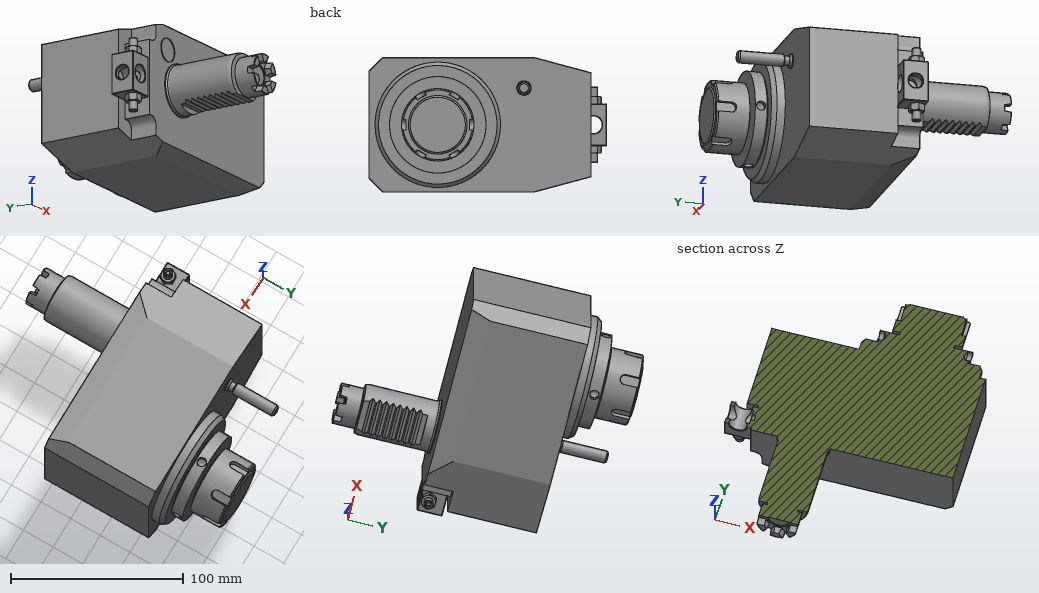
import math

import cadquery as cq


BODY_LEFT = -39.0
BODY_RIGHT = 90.0
BODY_HALF_HEIGHT = 39.0
BODY_DEPTH = 70.2
TAPER_START_X = -6.0
TAPER_ANGLE = 15.0
CORNER_CHAMFER = 8.0
FRONT_BEVEL_DEPTH = 12.0
FRONT_BEVEL_ANGLE = 15.0
BEVEL_CLEARANCE = 10.0

NOTCH_DEPTH = 17.0
NOTCH_FACE_X = -32.0
NOTCH_WALL_X = -25.3
NOTCH_FACE_HALF_HEIGHT = 22.9
NOTCH_FILLET = 4.6

RECESS_X = -12.3
RECESS_Z = 21.7
RECESS_RADIUS = 7.1
RECESS_DEPTH = 0.5

SHANK_RADIUS = 15.0
SHANK_END = -45.2
SHANK_CHAMFER_LENGTH = 2.0
SHANK_CHAMFER_RISE = 0.5
COLLAR_RADIUS = 16.0
COLLAR_LIP = 0.6
COLLAR_WIDTH = 1.6
COLLAR_RUNOUT = 2.7
COLLAR_RUNOUT_RADIUS = 15.3

RACK_FLAT_Z = -11.8
RACK_FLAT_START = -7.1
RACK_FIRST_GROOVE = -11.7
RACK_PITCH = 4.05
RACK_GROOVES = 8
RACK_GROOVE_DEPTH = 1.65
RACK_GROOVE_WIDTH = 3.3

COUPLING_NECK_RADIUS = 9.3
COUPLING_RADIUS = 12.0
COUPLING_START = -46.0
COUPLING_END = -59.1
COUPLING_CHAMFER = 0.3
TOOTH_COUNT = 6
TOOTH_HEIGHT = 4.3
TOOTH_INNER_RADIUS = 7.6
TOOTH_SLOT_MOUTH = 5.0
TOOTH_SLOT_FLOOR = 3.8
COUPLING_RECESS_RADIUS = 6.5
COUPLING_RECESS_FLOOR_RADIUS = 5.9
COUPLING_RECESS_DEPTH = 0.4

SPINDLE_X = 50.0
FLANGE_RADIUS = 36.4
FLANGE_END = 78.0
FLANGE_CHAMFER_LENGTH = 2.8
FLANGE_CHAMFER_RISE = 2.0
RING_RADIUS = 28.0
RING_GAP_RADIUS = 27.0
RING_START = 78.6
RING_END = 85.9
RING_HOLE_Y = 82.4
RING_HOLE_RADIUS = 2.7
RING_HOLE_DEPTH = 3.0
RING_HOLE_TIP_LENGTH = 1.6
RING_HOLE_COUNT = 4
SPINDLE_NECK_RADIUS = 16.6

NUT_RADIUS = 21.0
NUT_START = 87.3
NUT_SHOULDER = 106.7
NUT_CHAMFER = 0.8
NUT_LIP_RADIUS = 17.0
NUT_END_RADIUS = 16.0
NUT_END = 107.5
NUT_SLOT_COUNT = 6
NUT_SLOT_WIDTH = 6.0
NUT_SLOT_BOTTOM = 95.3
NUT_SLOT_FLOOR_RADIUS = 18.5

PIN_Z = 21.3
PIN_RADIUS = 3.6
PIN_END = 102.8
PIN_CHAMFER = 1.0
PIN_GROOVE_RADIUS = 2.7
PIN_GROOVE_START = 72.0
PIN_GROOVE_END = 74.8
PIN_GROOVE_CHAMFER = 0.7
PIN_BASE_RADIUS = 4.2
PIN_BASE_RIM = 0.6
PIN_BASE_TOP_RADIUS = 3.5

BLOCK_LEFT = -48.0
BLOCK_FRONT = 1.0
BLOCK_DEPTH = 15.0
BLOCK_HEIGHT = 24.4
BLOCK_CHAMFER = 0.4
BLOCK_BORE_X = -40.2
BLOCK_BORE_RADIUS = 5.2
BORE_CHAMFER = 0.4
SIDE_BORE_Y = 8.6
SIDE_BORE_RADIUS = 4.3
SIDE_BORE_END = -34.0
FEED_HOLE_RADIUS = 1.6

SCREW_X = -40.2
SCREW_Y = 6.0
SCREW_RADIUS = 2.6
SCREW_TOP = 22.0
SCREW_CHAMFER = 0.4
HEX_NUT_FLATS = 8.2
HEX_NUT_TOP = 16.5
HEX_NUT_CHAMFER = 0.6
SOCKET_FLATS = 2.5
SOCKET_DEPTH = 2.0


def hex_diameter(across_flats):
    """Corner-to-corner diameter of a hexagon."""
    return across_flats / math.cos(math.radians(30))


def turned(points, x=0.0, z=0.0):
    """Solid of revolution about a line along Y from (radius, y) points."""
    profile = cq.Workplane("XY").polyline(points).close()
    return profile.revolve(360, (0, 0, 0), (0, 1, 0)).translate((x, 0, z))


def y_cylinder(x, z, radius, y_start, y_end):
    """Cylinder along Y between two Y positions."""
    plane = cq.Workplane("XZ", origin=(x, y_start, z))
    return plane.circle(radius).extrude(y_start - y_end)


def mirrored_in_z(shape):
    """The shape together with its mirror image below the XY plane."""
    return shape.union(shape.mirror("XY"))


def cut_around_y(shape, tool, count):
    """Cut evenly spaced copies of a tool around the Y axis."""
    for index in range(count):
        shape = shape.cut(tool.rotate((0, 0, 0), (0, 1, 0), index * 360 / count))
    return shape


def make_housing():
    taper_drop = (TAPER_START_X - BODY_LEFT) * math.tan(math.radians(TAPER_ANGLE))
    left_half_height = BODY_HALF_HEIGHT - taper_drop
    right_half_height = BODY_HALF_HEIGHT - CORNER_CHAMFER
    upper = [
        (BODY_LEFT, left_half_height),
        (TAPER_START_X, BODY_HALF_HEIGHT),
        (BODY_RIGHT - CORNER_CHAMFER, BODY_HALF_HEIGHT),
        (BODY_RIGHT, right_half_height),
    ]
    lower = [(x, -z) for x, z in reversed(upper)]
    housing = cq.Workplane("XZ").polyline(upper + lower).close().extrude(-BODY_DEPTH)

    slope = math.tan(math.radians(FRONT_BEVEL_ANGLE))
    edge_height = BODY_HALF_HEIGHT - FRONT_BEVEL_DEPTH * slope
    bevel = (
        cq.Workplane("YZ", origin=(BODY_LEFT, 0, 0))
        .moveTo(0, edge_height)
        .lineTo(FRONT_BEVEL_DEPTH, BODY_HALF_HEIGHT)
        .lineTo(FRONT_BEVEL_DEPTH, BODY_HALF_HEIGHT + BEVEL_CLEARANCE)
        .lineTo(0, BODY_HALF_HEIGHT + BEVEL_CLEARANCE)
        .close()
        .extrude(BODY_RIGHT - BODY_LEFT)
    )
    housing = housing.cut(mirrored_in_z(bevel)).cut(make_notch())
    return housing.cut(y_cylinder(RECESS_X, RECESS_Z, RECESS_RADIUS, 0, RECESS_DEPTH))


def make_notch():
    arc_x = NOTCH_WALL_X - NOTCH_FILLET
    arc_z = NOTCH_FACE_HALF_HEIGHT + NOTCH_FILLET
    diagonal = NOTCH_FILLET * math.sqrt(0.5)
    upper = (
        cq.Workplane("XZ")
        .moveTo(BODY_LEFT, 0)
        .lineTo(NOTCH_FACE_X, 0)
        .lineTo(NOTCH_FACE_X, NOTCH_FACE_HALF_HEIGHT)
        .lineTo(arc_x, NOTCH_FACE_HALF_HEIGHT)
        .threePointArc((arc_x + diagonal, arc_z - diagonal), (NOTCH_WALL_X, arc_z))
        .lineTo(NOTCH_WALL_X, BODY_HALF_HEIGHT)
        .lineTo(BODY_LEFT, BODY_HALF_HEIGHT)
        .close()
        .extrude(-NOTCH_DEPTH)
    )
    return mirrored_in_z(upper)


def make_shank():
    shank = turned([
        (0, 0),
        (COLLAR_RADIUS, 0),
        (COLLAR_RADIUS, -COLLAR_LIP),
        (COLLAR_RUNOUT_RADIUS, -COLLAR_WIDTH),
        (SHANK_RADIUS, -COLLAR_RUNOUT),
        (SHANK_RADIUS, SHANK_END + SHANK_CHAMFER_LENGTH),
        (SHANK_RADIUS - SHANK_CHAMFER_RISE, SHANK_END),
        (0, SHANK_END),
    ])
    flat = cq.Workplane("XY").box(
        2 * SHANK_RADIUS,
        RACK_FLAT_START - SHANK_END,
        SHANK_RADIUS + RACK_FLAT_Z,
        centered=(True, False, False),
    )
    shank = shank.cut(flat.translate((0, SHANK_END, -SHANK_RADIUS)))
    for index in range(RACK_GROOVES):
        groove_y = RACK_FIRST_GROOVE - index * RACK_PITCH
        groove = (
            cq.Workplane("YZ")
            .moveTo(groove_y - RACK_GROOVE_WIDTH / 2, RACK_FLAT_Z)
            .lineTo(groove_y, RACK_FLAT_Z + RACK_GROOVE_DEPTH)
            .lineTo(groove_y + RACK_GROOVE_WIDTH / 2, RACK_FLAT_Z)
            .close()
            .extrude(SHANK_RADIUS, both=True)
        )
        shank = shank.cut(groove)
    return shank


def make_coupling():
    tooth_root = COUPLING_END + TOOTH_HEIGHT
    coupling = turned([
        (0, SHANK_END),
        (COUPLING_NECK_RADIUS, SHANK_END),
        (COUPLING_NECK_RADIUS, COUPLING_START),
        (COUPLING_RADIUS, COUPLING_START),
        (COUPLING_RADIUS, COUPLING_END + COUPLING_CHAMFER),
        (COUPLING_RADIUS - COUPLING_CHAMFER, COUPLING_END),
        (TOOTH_INNER_RADIUS, COUPLING_END),
        (TOOTH_INNER_RADIUS, tooth_root),
        (COUPLING_RECESS_RADIUS, tooth_root),
        (COUPLING_RECESS_FLOOR_RADIUS, tooth_root + COUPLING_RECESS_DEPTH),
        (0, tooth_root + COUPLING_RECESS_DEPTH),
    ])
    slot = (
        cq.Workplane("YZ", origin=(COUPLING_RECESS_RADIUS, 0, 0))
        .moveTo(COUPLING_END, TOOTH_SLOT_MOUTH / 2)
        .lineTo(tooth_root, TOOTH_SLOT_FLOOR / 2)
        .lineTo(tooth_root, -TOOTH_SLOT_FLOOR / 2)
        .lineTo(COUPLING_END, -TOOTH_SLOT_MOUTH / 2)
        .close()
        .extrude(COUPLING_RADIUS - COUPLING_RECESS_RADIUS)
    )
    return cut_around_y(coupling, slot, TOOTH_COUNT)


def make_spindle():
    spindle = turned([
        (0, BODY_DEPTH),
        (FLANGE_RADIUS, BODY_DEPTH),
        (FLANGE_RADIUS, FLANGE_END - FLANGE_CHAMFER_LENGTH),
        (FLANGE_RADIUS - FLANGE_CHAMFER_RISE, FLANGE_END),
        (RING_GAP_RADIUS, FLANGE_END),
        (RING_GAP_RADIUS, RING_START),
        (RING_RADIUS, RING_START),
        (RING_RADIUS, RING_END),
        (SPINDLE_NECK_RADIUS, RING_END),
        (SPINDLE_NECK_RADIUS, NUT_START),
        (0, NUT_START),
    ])
    hole_floor = RING_RADIUS - RING_HOLE_DEPTH
    hole = (
        cq.Workplane("XY")
        .moveTo(hole_floor - RING_HOLE_TIP_LENGTH, RING_HOLE_Y)
        .lineTo(hole_floor, RING_HOLE_Y + RING_HOLE_RADIUS)
        .lineTo(RING_RADIUS, RING_HOLE_Y + RING_HOLE_RADIUS)
        .lineTo(RING_RADIUS, RING_HOLE_Y)
        .close()
        .revolve(360, (0, RING_HOLE_Y, 0), (1, RING_HOLE_Y, 0))
    )
    spindle = cut_around_y(spindle, hole, RING_HOLE_COUNT)
    return spindle.union(make_collet_nut()).translate((SPINDLE_X, 0, 0))


def make_collet_nut():
    nut = turned([
        (0, NUT_START),
        (NUT_RADIUS, NUT_START),
        (NUT_RADIUS, NUT_SHOULDER - NUT_CHAMFER),
        (NUT_RADIUS - NUT_CHAMFER, NUT_SHOULDER),
        (NUT_LIP_RADIUS, NUT_SHOULDER),
        (NUT_END_RADIUS, NUT_END),
        (0, NUT_END),
    ])
    half_width = NUT_SLOT_WIDTH / 2
    arc_y = NUT_SLOT_BOTTOM + half_width
    slot = (
        cq.Workplane("YZ", origin=(NUT_SLOT_FLOOR_RADIUS, 0, 0))
        .moveTo(NUT_END, half_width)
        .lineTo(arc_y, half_width)
        .threePointArc((NUT_SLOT_BOTTOM, 0), (arc_y, -half_width))
        .lineTo(NUT_END, -half_width)
        .close()
        .extrude(NUT_RADIUS - NUT_SLOT_FLOOR_RADIUS)
    )
    return cut_around_y(nut, slot, NUT_SLOT_COUNT)


def make_locating_pin():
    return turned([
        (0, BODY_DEPTH),
        (PIN_BASE_RADIUS, BODY_DEPTH),
        (PIN_BASE_RADIUS, BODY_DEPTH + PIN_BASE_RIM),
        (PIN_BASE_TOP_RADIUS, PIN_GROOVE_START),
        (PIN_GROOVE_RADIUS, PIN_GROOVE_START),
        (PIN_GROOVE_RADIUS, PIN_GROOVE_END),
        (PIN_RADIUS, PIN_GROOVE_END + PIN_GROOVE_CHAMFER),
        (PIN_RADIUS, PIN_END - PIN_CHAMFER),
        (PIN_RADIUS - PIN_CHAMFER, PIN_END),
        (0, PIN_END),
    ], z=PIN_Z)


def make_coolant_block():
    block_back = BLOCK_FRONT + BLOCK_DEPTH
    block = cq.Workplane("XY").box(
        NOTCH_FACE_X - BLOCK_LEFT,
        BLOCK_DEPTH,
        BLOCK_HEIGHT,
        centered=(False, False, True),
    ).translate((BLOCK_LEFT, BLOCK_FRONT, 0))
    block = block.faces("<X or <Y or >Y").edges("not(>X)").chamfer(BLOCK_CHAMFER)

    rim_radius = BLOCK_BORE_RADIUS + BORE_CHAMFER
    cross_bore = turned([
        (0, BLOCK_FRONT),
        (rim_radius, BLOCK_FRONT),
        (BLOCK_BORE_RADIUS, BLOCK_FRONT + BORE_CHAMFER),
        (BLOCK_BORE_RADIUS, block_back),
        (0, block_back),
    ], x=BLOCK_BORE_X)
    side_plane = cq.Workplane("YZ", origin=(BLOCK_LEFT, SIDE_BORE_Y, 0))
    side_bore = side_plane.circle(SIDE_BORE_RADIUS).extrude(SIDE_BORE_END - BLOCK_LEFT)
    side_rim = (
        side_plane.circle(SIDE_BORE_RADIUS + BORE_CHAMFER)
        .workplane(offset=BORE_CHAMFER)
        .circle(SIDE_BORE_RADIUS)
        .loft()
    )
    feed_hole = side_plane.circle(FEED_HOLE_RADIUS).extrude(NOTCH_FACE_X - BLOCK_LEFT)
    block = block.cut(cross_bore).cut(side_bore).cut(side_rim).cut(feed_hole)
    return block.union(mirrored_in_z(make_clamping_screw()))


def make_clamping_screw():
    base = cq.Workplane("XY", origin=(SCREW_X, SCREW_Y, BLOCK_HEIGHT / 2))
    nut_height = HEX_NUT_TOP - BLOCK_HEIGHT / 2
    nut_corners = hex_diameter(HEX_NUT_FLATS)
    nut = base.polygon(6, nut_corners).extrude(nut_height)
    chamfered_round = base.circle(nut_corners / 2).extrude(nut_height)
    nut = nut.intersect(chamfered_round.faces(">Z").chamfer(HEX_NUT_CHAMFER))
    stud = base.circle(SCREW_RADIUS).extrude(SCREW_TOP - BLOCK_HEIGHT / 2)
    stud = stud.faces(">Z").chamfer(SCREW_CHAMFER)
    socket = (
        cq.Workplane("XY", origin=(SCREW_X, SCREW_Y, SCREW_TOP))
        .polygon(6, hex_diameter(SOCKET_FLATS))
        .extrude(-SOCKET_DEPTH)
    )
    return nut.union(stud).cut(socket)


result = (
    make_housing()
    .union(make_shank())
    .union(make_coupling())
    .union(make_spindle())
    .union(make_locating_pin())
    .union(make_coolant_block())
)